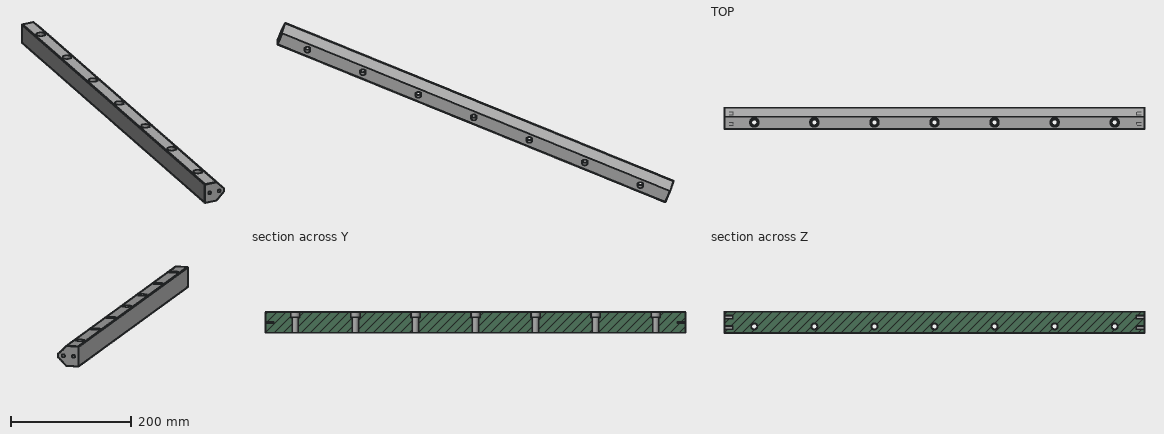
import cadquery as cq

length = 700.0
depth = 36.0
height = 35.0

flank = 15.0
edge_chamfer = 1.05

hole_count = 7
hole_pitch = length / hole_count
hole_diameter = 10.0
counterbore_diameter = 15.0
counterbore_depth = 9.0
hole_from_front = 11.0

end_hole_diameter = 5.2
end_hole_depth = 14.0
end_hole_inset = 9.0

front = -depth / 2
back = depth / 2
top = height / 2


def make_bar():
    """Extrude the cross-section along X, centred on the origin."""
    profile = [
        (front, -top),
        (back - flank, -top),
        (back, -top + flank),
        (back, top - flank),
        (back - flank, top),
        (front, top),
    ]
    return cq.Workplane("YZ").polyline(profile).close().extrude(length / 2, both=True)


def break_edges(bar):
    """Chamfer the long front edges and the ends of the front, top and bottom faces."""
    front_edges = bar.faces("<Y").edges()
    end_edges = bar.faces("<Z or >Z").edges("|Y")
    return front_edges.add(end_edges).chamfer(edge_chamfer)


def add_mounting_holes(bar):
    """Drill the row of counterbored holes down through the bar."""
    centers = [
        ((i - (hole_count - 1) / 2) * hole_pitch, front + hole_from_front)
        for i in range(hole_count)
    ]
    return (
        bar.cut(
            cq.Workplane("XY", origin=(0, 0, -top))
            .pushPoints(centers)
            .circle(hole_diameter / 2)
            .extrude(height)
        )
        .cut(
            cq.Workplane("XY", origin=(0, 0, top))
            .pushPoints(centers)
            .circle(counterbore_diameter / 2)
            .extrude(-counterbore_depth)
        )
    )


def add_end_holes(bar):
    """Drill two blind holes at mid height into each end."""
    centers = [(front + end_hole_inset, 0), (back - end_hole_inset, 0)]
    for side in (-1, 1):
        drills = (
            cq.Workplane("YZ", origin=(side * length / 2, 0, 0))
            .pushPoints(centers)
            .circle(end_hole_diameter / 2)
            .extrude(-side * end_hole_depth)
        )
        bar = bar.cut(drills)
    return bar


result = add_end_holes(add_mounting_holes(break_edges(make_bar())))